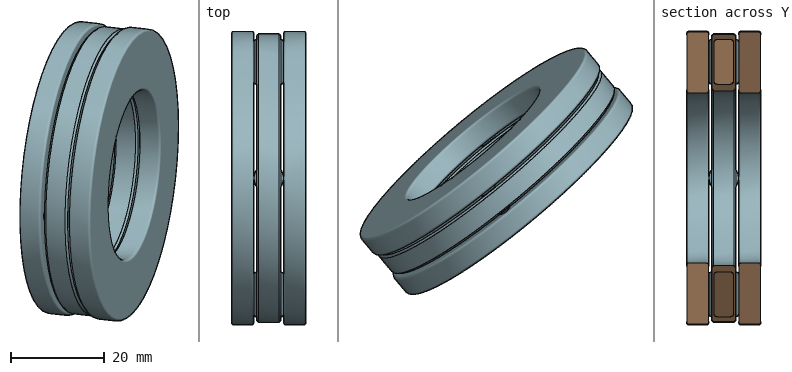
import cadquery as cq

outer_diameter = 62.71
bore_diameter = 36.51
total_width = 15.875
roller_diameter = 6.35
roller_length = 9.525
cage_width = 5.21
roller_count = 4
edge_radius = 0.51
cage_chamfer = 0.45
cage_setback = 0.51

washer_width = (total_width - roller_diameter) / 2
washer_center_x = (total_width - washer_width) / 2
cage_outer_diameter = outer_diameter - 2 * cage_setback
cage_bore_diameter = bore_diameter + 2 * cage_setback
pitch_radius = (outer_diameter + bore_diameter) / 4
roller_spacing_angle = 360 / roller_count


def make_ring(outer, bore, width, center_x):
    """Flat ring around the X axis with sharp rims."""
    return (
        cq.Workplane("YZ")
        .workplane(offset=center_x - width / 2)
        .circle(outer / 2)
        .circle(bore / 2)
        .extrude(width)
    )


def make_washer(side):
    """Washer with rounded rims on the -X side (side = -1) or the +X side (side = 1)."""
    washer = make_ring(outer_diameter, bore_diameter, washer_width, side * washer_center_x)
    return washer.edges().fillet(edge_radius)


def make_roller(angle):
    """Cylindrical roller with its own axis radial, turned about X by the given angle."""
    roller = (
        cq.Workplane("XY")
        .workplane(offset=pitch_radius - roller_length / 2)
        .circle(roller_diameter / 2)
        .extrude(roller_length)
        .edges("%CIRCLE")
        .fillet(edge_radius)
    )
    return roller.rotate((0, 0, 0), (1, 0, 0), angle)


def make_cage(rollers):
    """Chamfered ring between the washers with a matching pocket for each roller."""
    cage = make_ring(cage_outer_diameter, cage_bore_diameter, cage_width, 0)
    cage = cage.edges().chamfer(cage_chamfer)
    for roller in rollers:
        cage = cage.cut(roller)
    return cage


washers = [make_washer(side) for side in (-1, 1)]
rollers = [make_roller(i * roller_spacing_angle) for i in range(roller_count)]
cage = make_cage(rollers)

bodies = washers + [cage] + rollers
result = cq.Compound.makeCompound([body.val() for body in bodies])